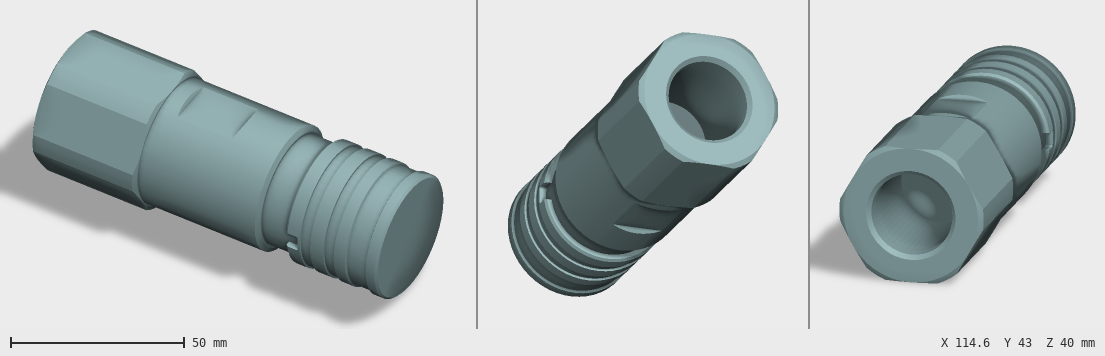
import cadquery as cq

length = 114.6

hex_length = 35.0
hex_across_flats = 40.0
hex_corner_diameter = 43.0
hex_bevel = 0.8

body_radius = 19.5
body_end = 75.0
body_chamfer_length = 0.9
body_chamfer_depth = 1.6

flat_height = 18.0
flat_start = 40.1
flat_end = 59.8
flat_end_slope = 0.8

neck_radius = 17.1
sleeve_start = 84.0
sleeve_radius = 19.1
sleeve_chamfer = 0.7
groove_radius = 18.5
narrow_groove_width = 3.4
narrow_groove_starts = [88.9, 96.8]
wide_groove_start = 104.0
wide_groove_end = 110.9
wide_groove_wall_run = 0.3

slot_width = 5.2
slot_end = 88.1
slot_corner_radius = 0.6

bore_radius = 12.0
bore_depth = hex_length
bore_chamfer = 1.3


def cylinder(start, end, radius):
    return cq.Workplane("YZ", origin=(start, 0, 0)).circle(radius).extrude(end - start)


def make_hexagon():
    """Hexagonal prism with rounded corners and a conical bevel at each end."""
    flat_radius = hex_across_flats / 2
    corner_radius = hex_corner_diameter / 2
    envelope = (
        cq.Workplane("XY")
        .moveTo(0, 0)
        .lineTo(0, flat_radius)
        .lineTo(hex_bevel, corner_radius)
        .lineTo(hex_length - hex_bevel, corner_radius)
        .lineTo(hex_length, flat_radius)
        .lineTo(hex_length, 0)
        .close()
        .revolve(360, (0, 0, 0), (1, 0, 0))
    )
    prism = (
        cq.Workplane("YZ")
        .polygon(6, hex_across_flats, circumscribed=True)
        .extrude(hex_length)
        .rotate((0, 0, 0), (1, 0, 0), 90)
    )
    return prism.intersect(envelope)


def make_body():
    """Cylinder with a steep conical chamfer at the neck end."""
    return (
        cq.Workplane("XY")
        .moveTo(hex_length, 0)
        .lineTo(hex_length, body_radius)
        .lineTo(body_end - body_chamfer_length, body_radius)
        .lineTo(body_end, body_radius - body_chamfer_depth)
        .lineTo(body_end, 0)
        .close()
        .revolve(360, (0, 0, 0), (1, 0, 0))
    )


def wrench_flat(side):
    """Recess cutter with sloped ends, above (side = 1) or below (side = -1) the body."""
    slope_rise = body_radius - flat_height
    run = 2 * flat_end_slope
    top = flat_height + 2 * slope_rise
    floor_start = flat_start + flat_end_slope
    floor_end = flat_end - flat_end_slope
    return (
        cq.Workplane("XZ")
        .polyline([
            (floor_start, side * flat_height),
            (floor_end, side * flat_height),
            (floor_end + run, side * top),
            (floor_start - run, side * top),
        ])
        .close()
        .extrude(body_radius, both=True)
    )


def groove_cutter(start, end, wall_run):
    """Ring whose side walls lean outward by wall_run over the groove depth."""
    depth = sleeve_radius - groove_radius
    return (
        cq.Workplane("XY")
        .polyline([
            (start + wall_run, groove_radius),
            (end - wall_run, groove_radius),
            (end + wall_run, groove_radius + 2 * depth),
            (start - wall_run, groove_radius + 2 * depth),
        ])
        .close()
        .revolve(360, (0, 0, 0), (1, 0, 0))
    )


def make_sleeve():
    sleeve = cylinder(sleeve_start, length, sleeve_radius).faces("<X or >X").chamfer(sleeve_chamfer)
    for start in narrow_groove_starts:
        sleeve = sleeve.cut(groove_cutter(start, start + narrow_groove_width, 0))
    sleeve = sleeve.cut(groove_cutter(wide_groove_start, wide_groove_end, wide_groove_wall_run))
    return sleeve.cut(make_slots())


def make_slots():
    """Two opposite slots that reach from the sleeve surface down to the neck radius."""
    slot_length = slot_end - sleeve_start
    bar = (
        cq.Workplane("XY")
        .box(slot_length, 2 * sleeve_radius, slot_width)
        .edges("|Y and >X")
        .fillet(slot_corner_radius)
        .translate((sleeve_start + slot_length / 2, 0, 0))
    )
    return bar.cut(cylinder(sleeve_start, slot_end, neck_radius))


def make_bore():
    bore = cylinder(0, bore_depth, bore_radius)
    mouth = cq.Workplane("YZ").circle(bore_radius + bore_chamfer).workplane(offset=bore_chamfer)
    return bore.union(mouth.circle(bore_radius).loft())


result = make_hexagon().union(make_body())
for side in (1, -1):
    result = result.cut(wrench_flat(side))
result = result.union(cylinder(body_end, sleeve_start, neck_radius))
result = result.union(make_sleeve())
result = result.cut(make_bore())